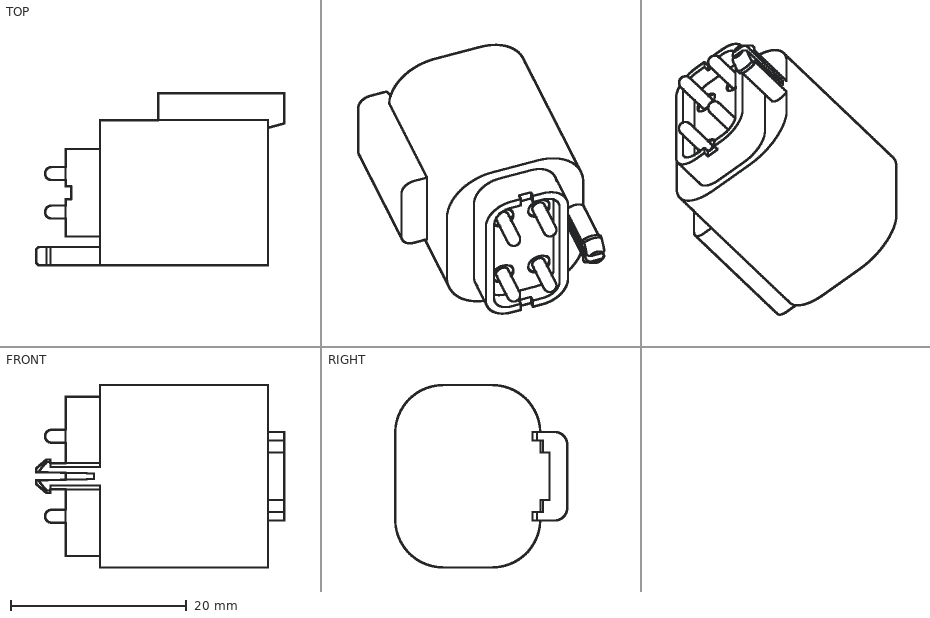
import cadquery as cq


total_length = 28.3

housing_start = 7.27
housing_end = 26.43
housing_width = 16.55
housing_height = 20.8
housing_corner = 5.5
housing_top = housing_width / 2
housing_bottom = -housing_width / 2

collar_start = 3.37
collar_width = 10.0
collar_height = 18.17
collar_corner = 3.05
collar_wall = 1.02
cavity_depth = 2.0
cavity_floor = collar_start + cavity_depth
notch_width = 1.45
notch_depth = 0.62

pin_diameter = 1.5
pin_tip = 1.02
pin_spacing_y = 4.4
pin_spacing_z = 9.1
recess_diameter = 2.6
recess_depth = 0.2

post_diameter = 3.0
post_thickness = 2.12
post_center_y = housing_bottom + post_thickness / 2
barb_diameter = 3.85
barb_tip_diameter = 1.78
barb_cone_end = 1.22
barb_end = 1.65
slot_end = 6.62
slot_mouth_width = 0.9
slot_end_width = 0.65

tab_start = 13.9
tab_width = 10.13
tab_rise = 3.08
tab_corner = 1.5
tab_top = housing_top + tab_rise
ramp_low_y = 7.4
ramp_high_y = 7.9
ramp_slope = (ramp_high_y - ramp_low_y) / (total_length - housing_end)

relief_width = 8.1
relief_ramp_start = 27.28
channel_width = 5.38
channel_ceiling = 9.35


def block(x_start, x_end, width_y, height_z):
    """Box along X, centred on Y = 0 and Z = 0."""
    return cq.Workplane("YZ", origin=(x_start, 0, 0)).rect(width_y, height_z).extrude(x_end - x_start)


def rounded_block(x_start, x_end, width_y, height_z, corner):
    return block(x_start, x_end, width_y, height_z).edges("|X").fillet(corner)


def rod(x_start, x_end, diameter, y=0.0, z=0.0):
    return cq.Workplane("YZ", origin=(x_start, y, z)).circle(diameter / 2).extrude(x_end - x_start)


def prism(points, width_z):
    """Extrude an XY outline symmetrically about Z = 0."""
    return cq.Workplane("XY").polyline(points).close().extrude(width_z / 2, both=True)


def make_collar():
    collar = rounded_block(collar_start, housing_start, collar_width, collar_height, collar_corner)
    cavity = rounded_block(
        collar_start,
        cavity_floor,
        collar_width - 2 * collar_wall,
        collar_height - 2 * collar_wall,
        collar_corner - collar_wall,
    )
    notches = block(collar_start, collar_start + notch_depth, notch_width, collar_height)
    return collar.cut(cavity).cut(notches)


def make_pin(y, z):
    """Round pin with a hemispherical tip."""
    dome_center_x = pin_tip + pin_diameter / 2
    shank = rod(dome_center_x, housing_start, pin_diameter, y, z)
    dome = cq.Workplane("XY").sphere(pin_diameter / 2).translate((dome_center_x, y, z))
    return shank.union(dome)


def make_snap_post():
    half_profile = [
        (0, 0),
        (0, barb_tip_diameter / 2),
        (barb_cone_end, barb_diameter / 2),
        (barb_end, barb_diameter / 2),
        (barb_end, post_diameter / 2),
        (housing_start, post_diameter / 2),
        (housing_start, 0),
    ]
    post = cq.Workplane("XY").polyline(half_profile).close().revolve(360, (0, 0), (1, 0))
    post = post.intersect(block(0, housing_start, post_thickness, barb_diameter))
    slot = (
        cq.Workplane("XZ")
        .polyline([
            (0, slot_mouth_width / 2),
            (slot_end, slot_end_width / 2),
            (slot_end, -slot_end_width / 2),
            (0, -slot_mouth_width / 2),
        ])
        .close()
        .extrude(post_thickness, both=True)
    )
    return post.cut(slot).translate((0, post_center_y, 0))


def make_tab():
    outline = [
        (tab_start, tab_top),
        (total_length, tab_top),
        (total_length, ramp_high_y),
        (housing_end, ramp_low_y),
        (tab_start, ramp_low_y),
    ]
    tab = prism(outline, tab_width).edges("|X and >Y").fillet(tab_corner)
    relief_rear_y = housing_top + ramp_slope * (total_length - relief_ramp_start)
    relief = prism(
        [
            (housing_end, ramp_low_y),
            (housing_end, housing_top),
            (relief_ramp_start, housing_top),
            (total_length, relief_rear_y),
            (total_length, ramp_low_y),
        ],
        relief_width,
    )
    channel = prism(
        [
            (housing_end, ramp_low_y),
            (housing_end, channel_ceiling),
            (total_length, channel_ceiling),
            (total_length, ramp_low_y),
        ],
        channel_width,
    )
    return tab.cut(relief).cut(channel)


result = rounded_block(housing_start, housing_end, housing_width, housing_height, housing_corner)
result = result.union(make_collar())

pin_places = [
    (side_y * pin_spacing_y / 2, side_z * pin_spacing_z / 2)
    for side_y in (-1, 1)
    for side_z in (-1, 1)
]
for pin_y, pin_z in pin_places:
    recess = rod(cavity_floor, cavity_floor + recess_depth, recess_diameter, pin_y, pin_z)
    result = result.cut(recess).union(make_pin(pin_y, pin_z))

result = result.union(make_snap_post()).union(make_tab())